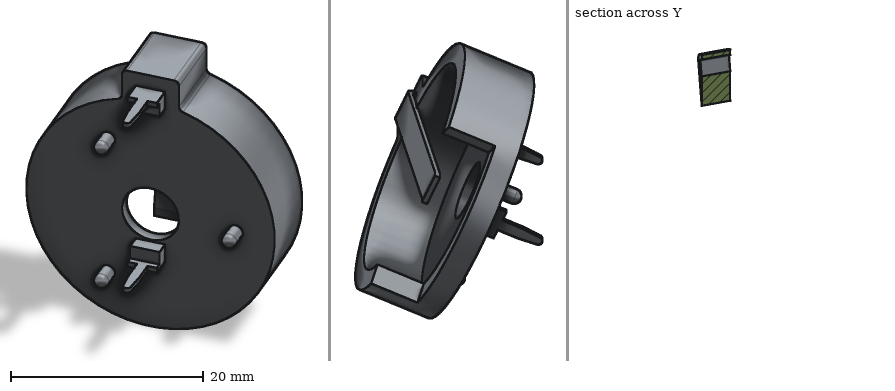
import cadquery as cq
import math


housing_radius = 13.87
housing_depth = 7.93
overall_height = 30.95
tab_top = overall_height - housing_radius
tab_width = 6.38
tab_corner_radius = 0.6
neck_fillet_radius = 0.6

pocket_radius = 11.6
floor_thickness = 1.33
window_radius = 3.15
low_wall_height = 2.63
opening_angle = 90

peg_radius = 0.8
peg_length = 2.6
peg_circle_radius = 9.5
peg_count = 3

strip_width = 3.28
strip_thickness = 0.6
shoulder_length = 2.35
pin_width = 1.2
pin_tip_width = 0.87
pin_taper_start = 4.67
pin_length = 7.15
pad_depth = 1.6
pad_height = 1.52
upper_lead_top = 15.48
lower_lead_bottom = -5.48

spring_projection = 0.95
bend_outer_radius = 0.8
spring_tilt = math.radians(10)
spring_kink_z = -2.7
spring_end_z = -3.7


def cylinder_y(radius, start, end):
    """Cylinder about the Y axis, from y = start to y = end."""
    return cq.Workplane("XZ", origin=(0, start, 0)).circle(radius).extrude(start - end)


def box_between(x_range, y_range, z_range):
    """Box given by its lower and upper limit along each axis."""
    limits = (x_range, y_range, z_range)
    size = [high - low for low, high in limits]
    lowest = cq.Vector(*[low for low, high in limits])
    return cq.Workplane("XY").box(*size, centered=False).translate(lowest)


def make_housing():
    half_tab = tab_width / 2
    tab = box_between((-half_tab, half_tab), (0, housing_depth), (0, tab_top))
    tab = tab.edges("|Y and >Z").fillet(tab_corner_radius)
    body = cylinder_y(housing_radius, 0, housing_depth).union(tab)

    neck_z = math.sqrt(housing_radius**2 - half_tab**2)
    for x in (-half_tab, half_tab):
        neck_edge = cq.selectors.NearestToPointSelector((x, housing_depth / 2, neck_z))
        body = body.edges("|Y").edges(neck_edge).fillet(neck_fillet_radius)

    body = body.cut(cylinder_y(pocket_radius, floor_thickness, housing_depth))
    body = body.cut(cylinder_y(window_radius, 0, floor_thickness))
    return body.cut(make_wall_opening())


def make_wall_opening():
    """Wedge pointing down from the cell axis, above the low wall."""
    reach = 2 * housing_radius
    half_width = reach * math.tan(math.radians(opening_angle / 2))
    return (
        cq.Workplane("XZ", origin=(0, low_wall_height, 0))
        .polyline([(0, 0), (half_width, -reach), (-half_width, -reach)])
        .close()
        .extrude(low_wall_height - housing_depth)
    )


def make_peg(angle):
    """Round-ended peg on the mounting face, at an angle from +X about the cell axis."""
    x = peg_circle_radius * math.cos(angle)
    z = peg_circle_radius * math.sin(angle)
    shank_length = peg_length - peg_radius
    shank = cylinder_y(peg_radius, -shank_length, 0)
    dome = cq.Workplane("XY").sphere(peg_radius).translate((0, -shank_length, 0))
    return shank.union(dome).translate((x, 0, z))


def make_lead(bottom_z):
    """Flat lead: a wide shoulder, then a pin that tapers to a round tip."""
    half_strip = strip_width / 2
    half_pin = pin_width / 2
    half_tip = pin_tip_width / 2
    tip_start = pin_length - half_tip
    return (
        cq.Workplane("XY", origin=(0, 0, bottom_z))
        .moveTo(-half_strip, 0)
        .lineTo(-half_strip, -shoulder_length)
        .lineTo(-half_pin, -shoulder_length)
        .lineTo(-half_pin, -pin_taper_start)
        .lineTo(-half_tip, -tip_start)
        .threePointArc((0, -pin_length), (half_tip, -tip_start))
        .lineTo(half_pin, -pin_taper_start)
        .lineTo(half_pin, -shoulder_length)
        .lineTo(half_strip, -shoulder_length)
        .lineTo(half_strip, 0)
        .close()
        .extrude(strip_thickness)
    )


def make_pad(bottom_z):
    """Block on the mounting face that backs up a lead."""
    half_strip = strip_width / 2
    return box_between((-half_strip, half_strip), (-pad_depth, 0), (bottom_z, bottom_z + pad_height))


def make_spring():
    """Strip that runs back through the tab, bends over and slants down into the pocket."""
    bend_y = housing_depth + spring_projection - bend_outer_radius
    bend_z = upper_lead_top - bend_outer_radius
    bend_inner_radius = bend_outer_radius - strip_thickness

    def on_bend(radius, angle):
        """Point on the bend, at an angle above the +Y direction."""
        return (bend_y + radius * math.cos(angle), bend_z + radius * math.sin(angle))

    bend_end = -spring_tilt
    bend_middle = (math.pi / 2 + bend_end) / 2
    inner_leg_start = on_bend(bend_inner_radius, bend_end)

    leg_drop = inner_leg_start[1] - spring_kink_z
    tail_front_y = inner_leg_start[0] - leg_drop * math.tan(spring_tilt)
    tail_back_y = tail_front_y + strip_thickness
    back_kink_z = spring_kink_z - strip_thickness * math.tan(spring_tilt / 2)

    return (
        cq.Workplane("YZ", origin=(-strip_width / 2, 0, 0))
        .moveTo(0, upper_lead_top)
        .lineTo(bend_y, upper_lead_top)
        .threePointArc(on_bend(bend_outer_radius, bend_middle), on_bend(bend_outer_radius, bend_end))
        .lineTo(tail_back_y, back_kink_z)
        .lineTo(tail_back_y, spring_end_z)
        .lineTo(tail_front_y, spring_end_z)
        .lineTo(tail_front_y, spring_kink_z)
        .lineTo(*inner_leg_start)
        .threePointArc(on_bend(bend_inner_radius, bend_middle), on_bend(bend_inner_radius, math.pi / 2))
        .lineTo(0, upper_lead_top - strip_thickness)
        .close()
        .extrude(strip_width)
    )


result = make_housing()

for peg_index in range(peg_count):
    result = result.union(make_peg(peg_index * 2 * math.pi / peg_count))

upper_lead_bottom = upper_lead_top - strip_thickness
result = result.union(make_lead(upper_lead_bottom))
result = result.union(make_pad(upper_lead_bottom - pad_height))
result = result.union(make_spring())

result = result.union(make_lead(lower_lead_bottom))
result = result.union(make_pad(lower_lead_bottom + strip_thickness))